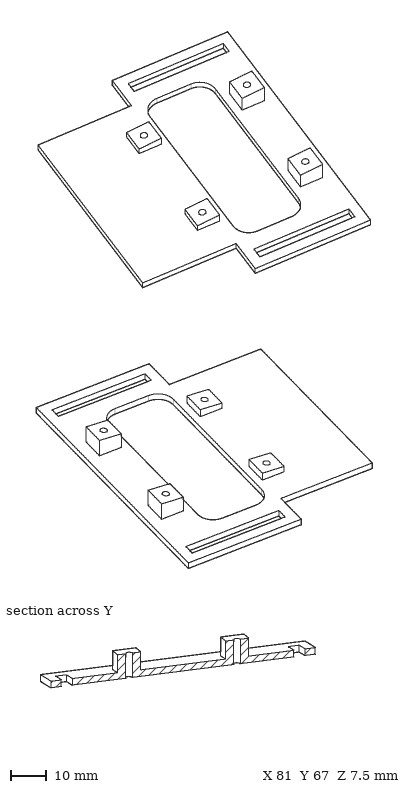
import cadquery as cq
import math

head_width = 81.0
head_length = 37.0
tail_width = 59.4
total_length = 67.0
plate_thickness = 2.0
tail_length = total_length - head_length

window_width = 57.0
window_length = 21.0
window_radius = 5.0
window_from_back = 13.5

slot_width = 3.3
slot_length = 30.45
slot_margin = 3.2

pad_size = 7.1
pad_pitch = 33.05
back_pad_from_back = 7.4
pad_slope = 5.0
back_pad_top = 7.5
front_pad_top = 4.5
hole_diameter = 2.0

back_pad_y = -back_pad_from_back
front_pad_y = back_pad_y - pad_pitch
pad_rows = [(back_pad_y, back_pad_top), (front_pad_y, front_pad_top)]
pad_columns = [-pad_pitch / 2, pad_pitch / 2]
slope_drop = pad_size * math.tan(math.radians(pad_slope))


def block(width, length, x, back_y):
    """Block as thick as the plate, centred on x and running from back_y towards -Y."""
    return (
        cq.Workplane("XY")
        .center(x, back_y - length / 2)
        .rect(width, length)
        .extrude(plate_thickness)
    )


def make_plate():
    head = block(head_width, head_length, 0, 0)
    tail = block(tail_width, tail_length, 0, -head_length)
    window = block(window_width, window_length, 0, -window_from_back)
    plate = head.union(tail).cut(window.edges("|Z").fillet(window_radius))
    slot_x = head_width / 2 - slot_margin - slot_width / 2
    for x in (-slot_x, slot_x):
        plate = plate.cut(block(slot_width, slot_length, x, -slot_margin))
    return plate


def make_pad(x, y, top):
    """Pad reaching down to the plate underside; top is the height of its back edge."""
    back = y + pad_size / 2
    front = y - pad_size / 2
    return (
        cq.Workplane("YZ", origin=(x, 0, 0))
        .polyline([(front, 0), (back, 0), (back, top), (front, top - slope_drop)])
        .close()
        .extrude(pad_size / 2, both=True)
    )


def make_hole(x, y, top):
    """Drill square to the sloping pad top, through the pad and the plate."""
    slope = math.radians(pad_slope)
    normal = cq.Vector(0, -math.sin(slope), math.cos(slope))
    pad_top_centre = cq.Vector(x, y, top - slope_drop / 2)
    start = pad_top_centre + normal * top
    return cq.Workplane(cq.Solid.makeCylinder(hole_diameter / 2, 3 * top, start, normal * -1))


result = make_plate()
for pad_y, pad_top in pad_rows:
    for pad_x in pad_columns:
        result = result.union(make_pad(pad_x, pad_y, pad_top))
        result = result.cut(make_hole(pad_x, pad_y, pad_top))